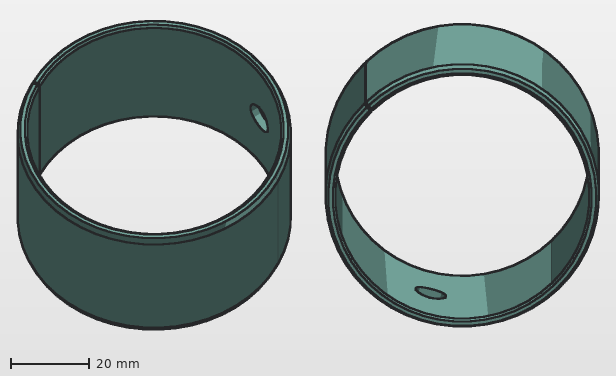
import cadquery as cq
import math

outer_diameter = 70.0
inner_diameter = 65.0
length = 40.0

outer_chamfer_length = 1.8
outer_chamfer_depth = 0.7
inner_chamfer = 0.6

slit_width = 0.5
slit_center_y = slit_width / 2

hole_diameter = 8.0
hole_angle = 59.0

outer_radius = outer_diameter / 2
inner_radius = inner_diameter / 2
half_length = length / 2


def make_sleeve():
    """Revolve the chamfered wall section about Z."""
    end_outer_radius = outer_radius - outer_chamfer_depth
    end_inner_radius = inner_radius + inner_chamfer
    outer_edge_z = half_length - outer_chamfer_length
    inner_edge_z = half_length - inner_chamfer
    section = [
        (inner_radius, -inner_edge_z),
        (end_inner_radius, -half_length),
        (end_outer_radius, -half_length),
        (outer_radius, -outer_edge_z),
        (outer_radius, outer_edge_z),
        (end_outer_radius, half_length),
        (end_inner_radius, half_length),
        (inner_radius, inner_edge_z),
    ]
    return cq.Workplane("XZ").polyline(section).close().revolve(360, (0, 0), (0, 1))


def make_slit():
    """Thin full-length box crossing the -X wall only."""
    return cq.Workplane("XY").box(outer_diameter, slit_width, length).translate(
        (-outer_radius, slit_center_y, 0)
    )


def make_oil_hole():
    """Radial cylinder from the axis outward through the wall."""
    angle = math.radians(hole_angle)
    direction = cq.Vector(math.cos(angle), math.sin(angle), 0)
    return cq.Solid.makeCylinder(hole_diameter / 2, outer_diameter, cq.Vector(0, 0, 0), direction)


result = make_sleeve().cut(make_slit()).cut(make_oil_hole())